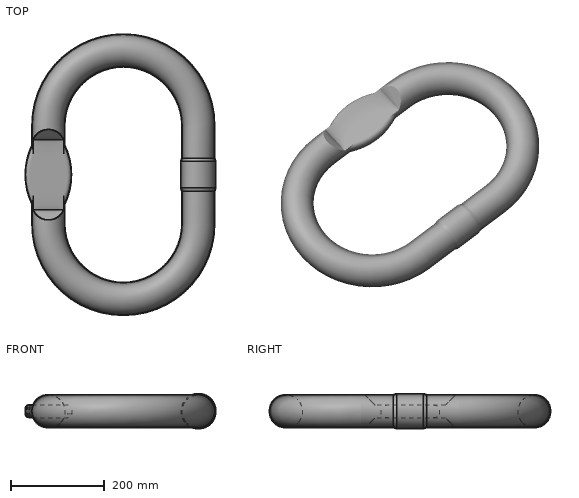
import cadquery as cq

LENGTH = 600.0
WIRE_DIAMETER = 70.0
STRAIGHT_LENGTH = 210.0
SLEEVE_DIAMETER = 75.0
SLEEVE_LENGTH = 56.5
SLEEVE_TAPER = 7.0
FLAT_THICKNESS = 27.0
FLAT_LENGTH = 150.0
PLATE_WIDTH = 99.0
PLATE_LENGTH = 146.5
PLATE_SIDE_RADIUS = 141.0
PLATE_EDGE_RADIUS = 9.0

wire_radius = WIRE_DIAMETER / 2
half_straight = STRAIGHT_LENGTH / 2
bend_radius = LENGTH / 2 - half_straight - wire_radius
cut_overshoot = 6.0


def make_ring():
    """Round wire swept along two straight legs and two half-circle bends."""
    path = (
        cq.Workplane("XY")
        .moveTo(bend_radius, 0)
        .lineTo(bend_radius, half_straight)
        .threePointArc((0, half_straight + bend_radius), (-bend_radius, half_straight))
        .lineTo(-bend_radius, -half_straight)
        .threePointArc((0, -half_straight - bend_radius), (bend_radius, -half_straight))
        .close()
    )
    return cq.Workplane("XZ", origin=(bend_radius, 0, 0)).circle(wire_radius).sweep(path)


def make_sleeve():
    """Collar with conical ends around the middle of the +X leg."""
    sleeve_radius = SLEEVE_DIAMETER / 2
    half_cylinder = SLEEVE_LENGTH / 2
    half_sleeve = half_cylinder + SLEEVE_TAPER
    return (
        cq.Workplane("XY")
        .polyline([
            (0, -half_sleeve),
            (wire_radius, -half_sleeve),
            (sleeve_radius, -half_cylinder),
            (sleeve_radius, half_cylinder),
            (wire_radius, half_sleeve),
            (0, half_sleeve),
        ])
        .close()
        .revolve(360, (0, 0), (0, 1))
        .translate((bend_radius, 0, 0))
    )


def make_flat_cutter():
    """Trapezoidal prism that cuts the upper flat and its ramps in the -X leg."""
    half_flat = FLAT_LENGTH / 2
    bottom = FLAT_THICKNESS / 2
    top = wire_radius + cut_overshoot
    half_top = half_flat + top - bottom
    return (
        cq.Workplane("YZ", origin=(-bend_radius, 0, 0))
        .polyline([(-half_flat, bottom), (half_flat, bottom), (half_top, top), (-half_top, top)])
        .close()
        .extrude(wire_radius + cut_overshoot, both=True)
    )


def make_plate():
    """Plate with bulged sides and rounded edges, as thick as the flattened leg."""
    half_width = PLATE_WIDTH / 2
    half_length = PLATE_LENGTH / 2
    side_sag = PLATE_SIDE_RADIUS - (PLATE_SIDE_RADIUS**2 - half_length**2) ** 0.5
    half_end = half_width - side_sag
    return (
        cq.Workplane("XY")
        .moveTo(half_end, -half_length)
        .threePointArc((half_width, 0), (half_end, half_length))
        .lineTo(-half_end, half_length)
        .threePointArc((-half_width, 0), (-half_end, -half_length))
        .close()
        .extrude(FLAT_THICKNESS / 2, both=True)
        .edges("%CIRCLE")
        .fillet(PLATE_EDGE_RADIUS)
        .translate((-bend_radius, 0, 0))
    )


flat_cutter = make_flat_cutter()
ring = make_ring().cut(flat_cutter).cut(flat_cutter.mirror("XY"))
result = ring.union(make_sleeve()).union(make_plate())